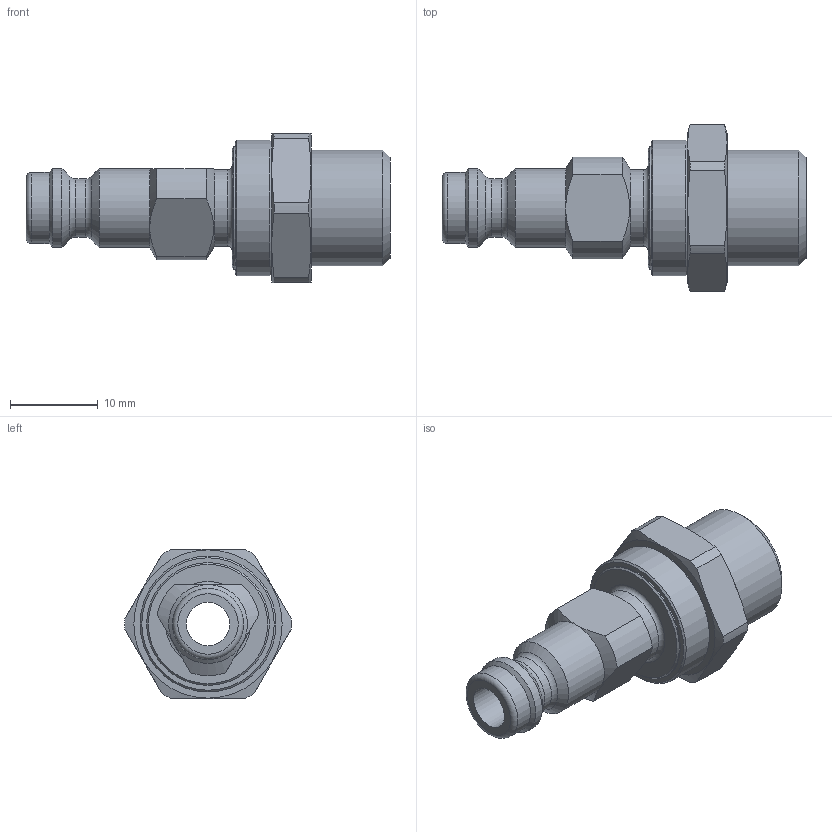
import cadquery as cq
import math

bore_diameter = 4.95

tip_diameter = 8.1
tip_round = 0.6
tip_end = 2.65
nipple_diameter = 9.0
collar_start = 3.03
collar_end = 4.1
groove_diameter = 6.65
groove_round = 1.0
groove_wall_angle = 45.0
nipple_body_start = 8.35

coding_diameter = 11.8
coding_start = 14.1
coding_crest_start = 14.9
coding_crest_end = 20.55
coding_end = 21.5
flat_distance = nipple_diameter / 2
flat_angles = (0, 120, 240)

neck_diameter = 8.7
neck_round = 0.5
seat_start = 23.5
seat_diameter = 14.0
seat_chamfer = 0.2

hex_start = 28.0
hex_length = 4.5
hex_sides = 6
hex_across_flats = 17.0
hex_corner_diameter = 19.0
hex_face_diameter = 16.9
hex_chamfer_angle = 15.0

thread_diameter = 13.16
thread_chamfer = 0.85
overall_length = 41.5

ring_start = 23.85
ring_diameter = 15.5
ring_bore_diameter = seat_diameter
ring_chamfer = 0.2

tip_radius = tip_diameter / 2
nipple_radius = nipple_diameter / 2
groove_radius = groove_diameter / 2
coding_radius = coding_diameter / 2
neck_radius = neck_diameter / 2
seat_radius = seat_diameter / 2
hex_end = hex_start + hex_length


def cylinder_along_x(start, end, diameter):
    return cq.Workplane("YZ", origin=(start, 0, 0)).circle(diameter / 2).extrude(end - start)


def revolve_about_x(profile):
    return profile.close().revolve(360, (0, 0, 0), (1, 0, 0))


def nipple():
    """Turned tip, groove, body and neck, ending in the seat that carries the ring."""
    wall_angle = math.radians(groove_wall_angle)
    wall_run = (nipple_radius - groove_radius) / math.tan(wall_angle)
    blend_length = groove_round * math.tan(wall_angle / 2)
    blend_step = blend_length * math.cos(wall_angle)
    blend_radius = groove_radius + blend_length * math.sin(wall_angle)
    front_corner = collar_end + wall_run
    rear_corner = nipple_body_start - wall_run
    front_blend_start = (front_corner - blend_step, blend_radius)
    front_blend_end = (front_corner + blend_length, groove_radius)
    rear_blend_start = (rear_corner - blend_length, groove_radius)
    rear_blend_end = (rear_corner + blend_step, blend_radius)

    profile = (
        cq.Workplane("XY")
        .moveTo(0, 0)
        .lineTo(0, tip_radius - tip_round)
        .radiusArc((tip_round, tip_radius), tip_round)
        .lineTo(tip_end, tip_radius)
        .lineTo(collar_start, nipple_radius)
        .lineTo(collar_end, nipple_radius)
        .lineTo(*front_blend_start)
        .radiusArc(front_blend_end, -groove_round)
        .lineTo(*rear_blend_start)
        .radiusArc(rear_blend_end, -groove_round)
        .lineTo(nipple_body_start, nipple_radius)
        .lineTo(coding_start, nipple_radius)
        .lineTo(coding_end, neck_radius)
        .lineTo(seat_start - neck_round, neck_radius)
        .radiusArc((seat_start, neck_radius + neck_round), -neck_round)
        .lineTo(seat_start, seat_radius - seat_chamfer)
        .lineTo(seat_start + seat_chamfer, seat_radius)
        .lineTo(hex_start, seat_radius)
        .lineTo(hex_start, 0)
    )
    return revolve_about_x(profile)


def coding_section():
    """Double-coned round section with three flats around the axis."""
    section = revolve_about_x(
        cq.Workplane("XY")
        .moveTo(coding_start, 0)
        .lineTo(coding_start, nipple_radius)
        .lineTo(coding_crest_start, coding_radius)
        .lineTo(coding_crest_end, coding_radius)
        .lineTo(coding_end, neck_radius)
        .lineTo(coding_end, 0)
    )
    for angle in flat_angles:
        waste = cq.Workplane("XY").box(
            coding_end - coding_start, coding_diameter, coding_radius, centered=(False, True, False)
        )
        waste = waste.translate((coding_start, 0, flat_distance))
        section = section.cut(waste.rotate((0, 0, 0), (1, 0, 0), angle))
    return section


def hexagon():
    """Hexagon with corners on Y, turned down at its corners and chamfered at both ends."""
    corner_to_corner = hex_across_flats / math.cos(math.pi / hex_sides)
    prism = cq.Workplane("YZ", origin=(hex_start, 0, 0)).polygon(hex_sides, corner_to_corner).extrude(hex_length)
    corner_radius = hex_corner_diameter / 2
    face_radius = hex_face_diameter / 2
    chamfer_depth = (corner_radius - face_radius) * math.tan(math.radians(hex_chamfer_angle))
    turned_envelope = revolve_about_x(
        cq.Workplane("XY")
        .moveTo(hex_start, 0)
        .lineTo(hex_start, face_radius)
        .lineTo(hex_start + chamfer_depth, corner_radius)
        .lineTo(hex_end - chamfer_depth, corner_radius)
        .lineTo(hex_end, face_radius)
        .lineTo(hex_end, 0)
    )
    return prism.intersect(turned_envelope)


def threaded_end():
    end = cylinder_along_x(hex_end, overall_length, thread_diameter)
    return end.faces(">X").chamfer(thread_chamfer)


def fitting_body():
    body = nipple().union(coding_section()).union(hexagon()).union(threaded_end())
    return body.cut(cylinder_along_x(0, overall_length, bore_diameter))


def identification_ring():
    """Ring fitted on the seat, resting against the hexagon and chamfered outside at both ends."""
    ring = cylinder_along_x(ring_start, hex_start, ring_diameter).faces("<X or >X").chamfer(ring_chamfer)
    return ring.cut(cylinder_along_x(ring_start, hex_start, ring_bore_diameter))


fitting = fitting_body()
ring = identification_ring()
result = cq.Compound.makeCompound([fitting.val(), ring.val()])